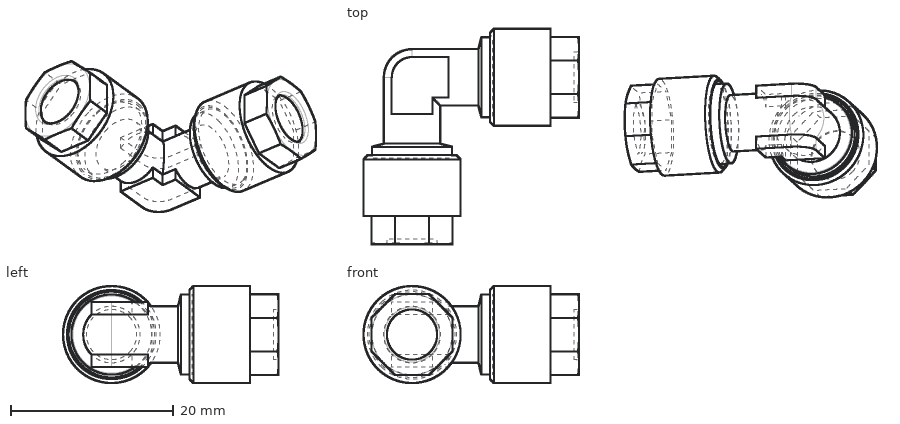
import cadquery as cq
import math

tube_radius = 3.5

collar_start = 8.18
body_start = 9.6
body_end = 17.1
arm_end = 20.6

collar_radius = 4.95
collar_face_edge_radius = 4.77
collar_face_depth = 0.32
collar_rim_depth = 0.07

body_radius = 6.0
body_chamfer = 0.5
mouth_radius = 5.3
mouth_depth = mouth_radius - collar_radius

octagon_sides = 8
octagon_across_flats = 10.0
end_face_radius = 4.97
end_cone_angle = 15.0

port_radius = 3.1
port_rim_rounding = 0.3
port_depth = 0.65

pad_half_width = 2.5
pad_length = 4.5
pad_half_height = 4.0


def revolve_about_x(profile):
    """Revolve an XY profile, given as (along, radius), around the X axis."""
    return profile.close().revolve(360, (0, 0, 0), (1, 0, 0))


def make_round_body():
    face_edge = collar_start + collar_face_depth
    profile = (
        cq.Workplane("XY")
        .moveTo(0, 0)
        .lineTo(0, tube_radius)
        .lineTo(collar_start, tube_radius)
        .lineTo(face_edge, collar_face_edge_radius)
        .lineTo(face_edge + collar_rim_depth, collar_radius)
        .lineTo(body_start + mouth_depth, collar_radius)
        .lineTo(body_start, mouth_radius)
        .lineTo(body_start, body_radius - body_chamfer)
        .lineTo(body_start + body_chamfer, body_radius)
        .lineTo(body_end, body_radius)
        .lineTo(body_end, 0)
    )
    return revolve_about_x(profile)


def make_octagon_end():
    corner_radius = octagon_across_flats / 2 / math.cos(math.pi / octagon_sides)
    octagon = (
        cq.Workplane("YZ")
        .workplane(offset=body_end)
        .transformed(rotate=(0, 0, 180 / octagon_sides))
        .polygon(octagon_sides, 2 * corner_radius)
        .extrude(arm_end - body_end)
    )
    cone_depth = (corner_radius - end_face_radius) * math.tan(math.radians(end_cone_angle))
    envelope = (
        cq.Workplane("XY")
        .moveTo(body_end, 0)
        .lineTo(body_end, corner_radius)
        .lineTo(arm_end - cone_depth, corner_radius)
        .lineTo(arm_end, end_face_radius)
        .lineTo(arm_end, 0)
    )
    return octagon.intersect(revolve_about_x(envelope))


def make_port():
    port_bottom = arm_end - port_depth
    profile = (
        cq.Workplane("XY")
        .moveTo(port_bottom, 0)
        .lineTo(port_bottom, port_radius)
        .lineTo(arm_end - port_rim_rounding, port_radius)
        .radiusArc((arm_end, port_radius + port_rim_rounding), -port_rim_rounding)
        .lineTo(arm_end, 0)
    )
    return revolve_about_x(profile)


def make_arm():
    """Complete arm along +X, from the elbow centre to its end face."""
    return make_round_body().union(make_octagon_end()).cut(make_port())


def make_pads():
    """One L-shaped block through the elbow, showing as a pad above and below."""
    return (
        cq.Workplane("XY")
        .workplane(offset=-pad_half_height)
        .moveTo(0, pad_half_width)
        .lineTo(pad_length, pad_half_width)
        .lineTo(pad_length, -pad_half_width)
        .lineTo(pad_half_width, -pad_half_width)
        .lineTo(pad_half_width, -pad_length)
        .lineTo(-pad_half_width, -pad_length)
        .lineTo(-pad_half_width, 0)
        .radiusArc((0, pad_half_width), pad_half_width)
        .close()
        .extrude(2 * pad_half_height)
    )


arm_along_x = make_arm()
arm_along_minus_y = arm_along_x.rotate((0, 0, 0), (0, 0, 1), -90)
elbow_ball = cq.Workplane("XY").sphere(tube_radius)

result = arm_along_x.union(arm_along_minus_y).union(elbow_ball).union(make_pads())